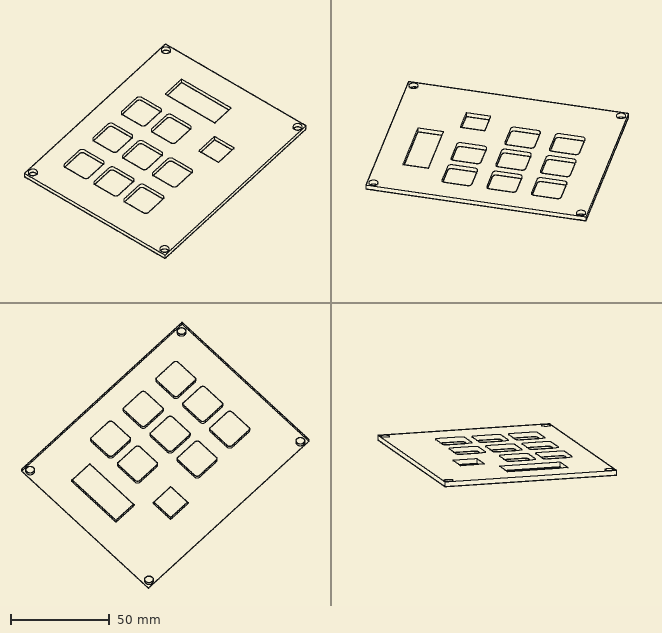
import cadquery as cq

PANEL_WIDTH = 90.86
PANEL_HEIGHT = 114.51
PANEL_THICKNESS = 2.54

MOUNT_HOLE_DIAMETER = 4.57
MOUNT_SPACING_X = 85.1
MOUNT_SPACING_Y = 108.0

BUTTON_SIZE = 15.4
BUTTON_CORNER_RADIUS = 1.8
BUTTON_PITCH_X = 19.3
BUTTON_PITCH_Y = 23.25
FIRST_BUTTON_X = -25.9
FIRST_BUTTON_Y = 13.15
BUTTONS_PER_ROW = (2, 3, 3)

DISPLAY_WIDTH = 32.0
DISPLAY_HEIGHT = 13.2
DISPLAY_CENTRE = (-7.9, 36.65)

SQUARE_SIZE = 12.7
SQUARE_CENTRE = (20.2, 16.25)


def button_centres():
    """Centres of all button openings, row by row from the top."""
    return [
        (FIRST_BUTTON_X + column * BUTTON_PITCH_X, FIRST_BUTTON_Y - row * BUTTON_PITCH_Y)
        for row, count in enumerate(BUTTONS_PER_ROW)
        for column in range(count)
    ]


def window_cutter(width, height, centres):
    """Sharp-cornered blocks as tall as the panel, one at each centre."""
    return cq.Workplane("XY").pushPoints(centres).rect(width, height).extrude(PANEL_THICKNESS)


def button_cutter():
    """Blocks with rounded vertical edges, one for each button opening."""
    blocks = window_cutter(BUTTON_SIZE, BUTTON_SIZE, button_centres())
    return blocks.edges("|Z").fillet(BUTTON_CORNER_RADIUS)


def mount_hole_cutter():
    """Four cylinders, one for each corner mounting hole."""
    return (
        cq.Workplane("XY")
        .rect(MOUNT_SPACING_X, MOUNT_SPACING_Y, forConstruction=True)
        .vertices()
        .circle(MOUNT_HOLE_DIAMETER / 2)
        .extrude(PANEL_THICKNESS)
    )


panel = cq.Workplane("XY").rect(PANEL_WIDTH, PANEL_HEIGHT).extrude(PANEL_THICKNESS)

result = (
    panel
    .cut(mount_hole_cutter())
    .cut(button_cutter())
    .cut(window_cutter(DISPLAY_WIDTH, DISPLAY_HEIGHT, [DISPLAY_CENTRE]))
    .cut(window_cutter(SQUARE_SIZE, SQUARE_SIZE, [SQUARE_CENTRE]))
)